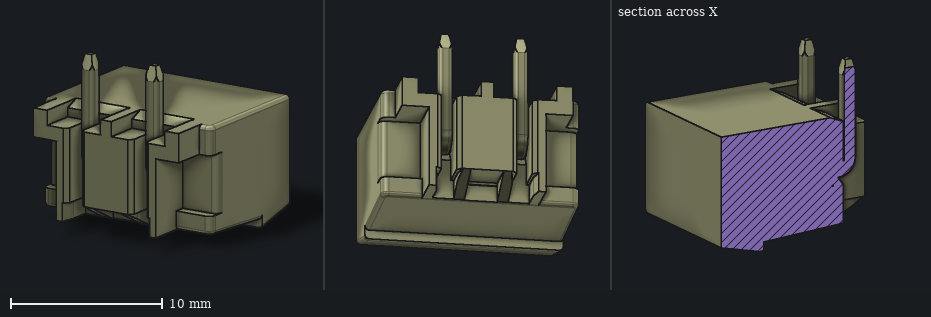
import cadquery as cq
import math

WIDTH = 13.36
DEPTH = 12.0
TOP = 8.42
EDGE_ROUND = 0.3
CORNER_ROUND = 0.5

BODY_FRONT = 2.5
BODY_BOTTOM_FRONT = 0.94
BODY_BOTTOM_REAR = 0.61
LIP_FRONT = 8.67
LIP_FLAT = 0.32
LIP_REAR_RISE = 0.73

SELECT_MARGIN = 0.07

BLOCK_HALF_WIDTH = 5.75
LEG_HALF_WIDTH = 3.93
RECESS_TOP = 6.4
RECESS_BOTTOM = 2.23
RECESS_BACK = 3.3

PIN_PITCH = 5.08
PIN_X = (-PIN_PITCH / 2, PIN_PITCH / 2)
PIN_SIZE = 1.0
PIN_ROUND = 0.3
PIN_TOP = 12.2
PIN_Y = 2.0
PIN_BOTTOM = 4.11
BEND_INNER = 0.3
PIN_TAIL = 1.34
TIP_SIZE = 0.53
TIP_LENGTH = 1.04

SLOT_WIDTH = 1.03
SLOT_CHAMFER = 0.31
LOWER_SLOT_FRONT_HALF = 0.91
LOWER_SLOT_HALF = 0.71
LOWER_SLOT_TAPER = 1.0
RELIEF_BOTTOM = 3.63
RELIEF_DEPTH = 0.5
RELIEF_RISE = 0.68

POCKET_WIDTH = 4.22
POCKET_FLOOR = 7.37
POCKET_WALL_TOP = 8.0
POCKET_BACK = 3.53

NOTCH_HALF_WIDTH = 1.11
NOTCH_STEP_TOP = 2.03
NOTCH_STEP_DEPTH = 0.11


def box(x0, x1, y0, y1, z0, z1):
    return cq.Workplane("XY").box(x1 - x0, y1 - y0, z1 - z0, centered=False).translate((x0, y0, z0))


def side_prism(points, x_centre, width):
    """Extrude a (y, z) outline along X, centred on x_centre."""
    return cq.Workplane("YZ", origin=(x_centre - width / 2, 0, 0)).polyline(points).close().extrude(width)


def plan_prism(points, z0, z1):
    """Extrude an (x, y) outline from z0 to z1."""
    return cq.Workplane("XY", origin=(0, 0, z0)).polyline(points).close().extrude(z1 - z0)


def main_body():
    profile = [
        (BODY_FRONT, TOP),
        (BODY_FRONT, BODY_BOTTOM_FRONT),
        (LIP_FRONT, BODY_BOTTOM_REAR),
        (LIP_FRONT, 0),
        (LIP_FRONT + LIP_FLAT, 0),
        (DEPTH, LIP_REAR_RISE),
        (DEPTH, TOP),
    ]
    body = side_prism(profile, 0, WIDTH)
    body = body.faces("<Y").edges("|Z").fillet(CORNER_ROUND)
    body = body.faces(">Z").edges("not >Y").fillet(EDGE_ROUND)

    front_zone = cq.selectors.BoxSelector(
        (-WIDTH, 0, BODY_BOTTOM_REAR - SELECT_MARGIN),
        (WIDTH, LIP_FRONT - SELECT_MARGIN, BODY_BOTTOM_FRONT + SELECT_MARGIN),
    )
    body = body.edges(front_zone).fillet(EDGE_ROUND)
    lip_zone = cq.selectors.BoxSelector(
        (-WIDTH, LIP_FRONT + SELECT_MARGIN, -SELECT_MARGIN),
        (WIDTH, DEPTH - SELECT_MARGIN, LIP_REAR_RISE),
    )
    return body.edges(lip_zone).edges("not |X").fillet(EDGE_ROUND)


def front_block():
    head = box(-BLOCK_HALF_WIDTH, BLOCK_HALF_WIDTH, 0, RECESS_BACK, RECESS_TOP, TOP)
    legs_back = BODY_FRONT + EDGE_ROUND
    legs = box(-LEG_HALF_WIDTH, LEG_HALF_WIDTH, 0, legs_back, BODY_BOTTOM_FRONT, RECESS_TOP)
    return head.union(legs)


def side_recess():
    """Space beside the +X leg, leaving a rounded corner on the body behind it."""
    half = WIDTH / 2
    blend = CORNER_ROUND * (1 - math.sqrt(0.5))
    return (
        cq.Workplane("XY", origin=(0, 0, RECESS_BOTTOM))
        .moveTo(LEG_HALF_WIDTH, 0)
        .lineTo(WIDTH, 0)
        .lineTo(WIDTH, RECESS_BACK + CORNER_ROUND)
        .lineTo(half, RECESS_BACK + CORNER_ROUND)
        .threePointArc((half - blend, RECESS_BACK + blend), (half - CORNER_ROUND, RECESS_BACK))
        .lineTo(LEG_HALF_WIDTH, RECESS_BACK)
        .close()
        .extrude(RECESS_TOP - RECESS_BOTTOM)
    )


def top_pocket(x):
    profile = [
        (0, TOP),
        (0, POCKET_FLOOR),
        (BODY_FRONT, POCKET_FLOOR),
        (BODY_FRONT, POCKET_WALL_TOP),
        (POCKET_BACK, TOP),
    ]
    return side_prism(profile, x, POCKET_WIDTH)


def pin_slot(x):
    half = SLOT_WIDTH / 2
    mouth = half + SLOT_CHAMFER
    upper = plan_prism(
        [
            (x - mouth, 0),
            (x + mouth, 0),
            (x + half, SLOT_CHAMFER),
            (x + half, BODY_FRONT),
            (x - half, BODY_FRONT),
            (x - half, SLOT_CHAMFER),
        ],
        RECESS_BOTTOM,
        TOP,
    )
    lower = plan_prism(
        [
            (x - LOWER_SLOT_FRONT_HALF, 0),
            (x + LOWER_SLOT_FRONT_HALF, 0),
            (x + LOWER_SLOT_HALF, LOWER_SLOT_TAPER),
            (x + LOWER_SLOT_HALF, BODY_FRONT),
            (x - LOWER_SLOT_HALF, BODY_FRONT),
            (x - LOWER_SLOT_HALF, LOWER_SLOT_TAPER),
        ],
        0,
        RECESS_BOTTOM,
    )
    relief = side_prism(
        [
            (BODY_FRONT, RELIEF_BOTTOM),
            (BODY_FRONT + RELIEF_DEPTH, RELIEF_BOTTOM + RELIEF_RISE),
            (BODY_FRONT, RELIEF_BOTTOM + RELIEF_RISE),
        ],
        x,
        SLOT_WIDTH,
    )
    return upper.union(lower).union(relief)


def centre_undercut():
    """Sloping underside of the centre block with a notch between its two ribs."""
    slope = side_prism(
        [(0, RECESS_BOTTOM), (BODY_FRONT, BODY_BOTTOM_FRONT), (0, BODY_BOTTOM_FRONT)], 0, PIN_PITCH
    )
    notch = box(-NOTCH_HALF_WIDTH, NOTCH_HALF_WIDTH, 0, BODY_FRONT, 0, RECESS_BOTTOM)
    step = box(
        -NOTCH_HALF_WIDTH, NOTCH_HALF_WIDTH, 0, BODY_FRONT + NOTCH_STEP_DEPTH, 0, NOTCH_STEP_TOP
    )
    return slope.union(notch).union(step)


def pin(x):
    """Right-angle pin: tapered upright, bend, and a tail running back into the body."""
    bend_radius = BEND_INNER + PIN_SIZE / 2
    tail_z = PIN_BOTTOM + PIN_SIZE / 2
    bend_z = tail_z + bend_radius
    bend_y = PIN_Y + bend_radius
    mid = bend_radius * math.sqrt(0.5)
    path = (
        cq.Workplane("YZ", origin=(x, 0, 0))
        .moveTo(PIN_Y, PIN_TOP)
        .lineTo(PIN_Y, bend_z)
        .threePointArc((bend_y - mid, bend_z - mid), (bend_y, tail_z))
        .lineTo(bend_y + PIN_TAIL, tail_z)
    )
    section = cq.Sketch().rect(PIN_SIZE, PIN_SIZE).vertices().fillet(PIN_ROUND)
    wire = cq.Workplane("XY", origin=(x, PIN_Y, PIN_TOP)).placeSketch(section).sweep(path)

    tip_zone = box(
        x - PIN_SIZE, x + PIN_SIZE, PIN_Y - PIN_SIZE, PIN_Y + PIN_SIZE, PIN_TOP - TIP_LENGTH, PIN_TOP
    )
    taper = (
        cq.Workplane("XY", origin=(x, PIN_Y, PIN_TOP - TIP_LENGTH))
        .rect(PIN_SIZE, PIN_SIZE)
        .workplane(offset=TIP_LENGTH)
        .rect(TIP_SIZE, TIP_SIZE)
        .loft(ruled=True)
    )
    return wire.cut(tip_zone.cut(taper))


result = main_body().union(front_block())
recess = side_recess()
result = result.cut(recess).cut(recess.mirror("YZ"))
result = result.cut(centre_undercut())
for pin_x in PIN_X:
    result = result.cut(top_pocket(pin_x)).cut(pin_slot(pin_x))
for pin_x in PIN_X:
    result = result.union(pin(pin_x))